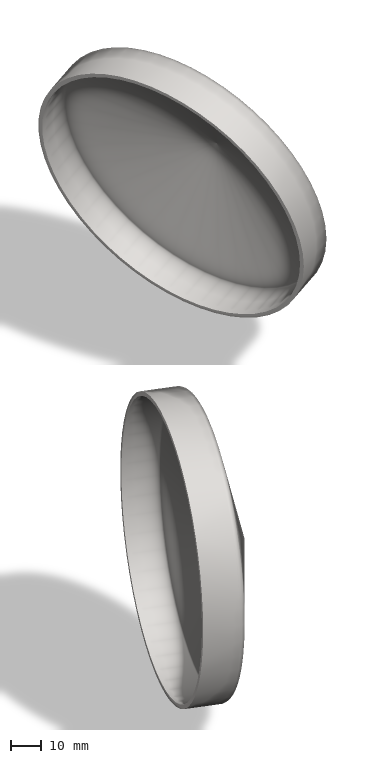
import cadquery as cq
import math

outer_diameter = 105.0
inner_diameter = 102.0
total_depth = 28.0
corner_depth = 14.1
corner_radius = 2.0
tip_radius = 0.1

outer_radius = outer_diameter / 2
inner_radius = inner_diameter / 2
wall = outer_radius - inner_radius
cone_angle = math.atan2(total_depth - corner_depth, outer_radius - tip_radius)


def rounded_cone_body(radius, tip_depth, rounding):
    """Solid of revolution around Y: a cylinder ending in a flat-tipped cone, corner rounded."""
    edge_depth = tip_depth - (radius - tip_radius) * math.tan(cone_angle)
    turn = math.pi / 2 - cone_angle
    center_x = radius - rounding
    center_y = edge_depth - rounding * math.tan(turn / 2)

    def arc_point(angle):
        return (center_x + rounding * math.cos(angle), center_y + rounding * math.sin(angle))

    return (
        cq.Workplane("XY")
        .lineTo(radius, 0)
        .lineTo(*arc_point(0))
        .threePointArc(arc_point(turn / 2), arc_point(turn))
        .lineTo(tip_radius, tip_depth)
        .lineTo(0, tip_depth)
        .close()
        .revolve(360, (0, 0), (0, 1))
    )


outside = rounded_cone_body(outer_radius, total_depth, corner_radius)
inside = rounded_cone_body(
    inner_radius,
    total_depth - wall / math.cos(cone_angle),
    corner_radius - wall,
)

result = outside.cut(inside)